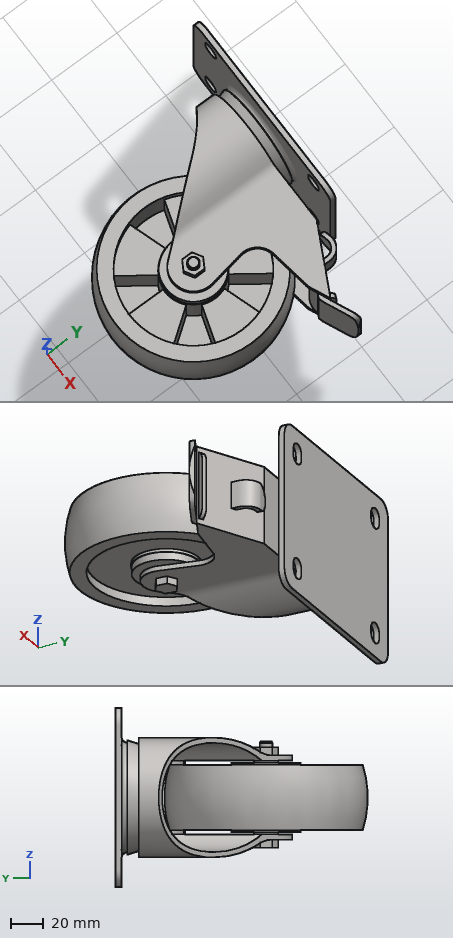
import cadquery as cq
import math


PLATE_LENGTH = 140.0
PLATE_WIDTH = 110.0
PLATE_THICK = 4.0
PLATE_CORNER = 10.0
SLOT_LENGTH = 13.5
SLOT_WIDTH = 11.0
SLOT_PITCH_X = 105.0
SLOT_PITCH_Z = 77.5

BEARING_FLARE_RADIUS = 37.0
BEARING_RADIUS = 35.2
BEARING_END_RADIUS = 33.0
BEARING_FILLET = 3.3

FORK_TOP = -14.2
SHEET = 3.3
RING_RADIUS = 73.5 / 2
CHEEK_OUTER = 26.0
CHEEK_INNER = CHEEK_OUTER - SHEET
CHEEK_BLEND = 10.0
EYE_RADIUS = 16.0
FRONT_EDGE_START = (-RING_RADIUS, -26.5)
FRONT_EDGE_ANGLE = 50.0
FRONT_EDGE_CURVE_END_X = -5.4
REAR_EDGE_ANGLE = 10.0
THROAT_RADIUS = 14.0
SHOULDER_X = 69.6
NOSE_TIP = (115.0, -37.5)
NOSE_KNEE = (100.7, -43.9)
NOSE_EDGE_ANGLE = 8.7

AXLE_X = 48.0
AXLE_Y = -92.5
WHEEL_RADIUS = 62.5
WHEEL_SIDE_RADIUS = 59.3
WHEEL_WIDTH = 40.0
RIM_RADIUS = 98.0 / 2
SPOKE_FACE = 14.0
SPOKE_COUNT = 5
SPOKE_OFFSET = 2.0
WEB_THICK = 4.1
HUB_RADIUS = 43.5 / 2
HUB_CAP_RADIUS = 42.6 / 2
HUB_CAP_HEIGHT = 5.2
HUB_FACE = 21.2

SPACER_RADIUS = 15.0 / 2
BOLT_RADIUS = 8.0 / 2
BOLT_END = 34.5
BOLT_CHAMFER_HEIGHT = 1.2
BOLT_CHAMFER_WIDTH = 0.6
NUT_CORNERS = 15.0
NUT_HEIGHT = 5.0

CURL_CENTER = (81.5, -20.5)
CURL_RADIUS = 10.0
HOOK_WIDTH = 17.7
HOOK_TIP_X = 72.7
HOOK_TIP_DROP = 1.2
HOOK_ROOT_Y = -32.0
CAM_CENTER = (103.2, -28.5)
CAM_RADIUS = 13.4
CAM_LIP_ANGLE = 22.0
OVERALL_LENGTH = 206.0
PEDAL_END_X = OVERALL_LENGTH - PLATE_LENGTH / 2
PEDAL_END_Y = -32.0
PEDAL_ANGLE = 24.0
PEDAL_HEEL = (106.0, -41.0)
PEDAL_BEND = ((110.0, -42.8), (113.0, -42.0))
LEVER_CORNER = 5.8
PEDAL_END_BOW = 2.7


def polar(center, radius, degrees):
    angle = math.radians(degrees)
    return (center[0] + radius * math.cos(angle), center[1] + radius * math.sin(angle))


def slab(outline, half_width):
    """Extrude an XY wire to both sides of the mid plane."""
    return outline.extrude(half_width, both=True)


def across(outline, start_y, depth):
    """Extrude an XZ wire from start_y toward -Y."""
    return outline.extrude(depth).translate((0, start_y, 0))


def mounting_plate():
    plate = across(cq.Workplane("XZ").rect(PLATE_LENGTH, PLATE_WIDTH), 0, PLATE_THICK)
    plate = plate.edges("|Y").fillet(PLATE_CORNER)
    slots = (
        cq.Workplane("XZ")
        .rect(SLOT_PITCH_X, SLOT_PITCH_Z, forConstruction=True)
        .vertices()
        .slot2D(SLOT_LENGTH, SLOT_WIDTH, 90)
    )
    return plate.cut(across(slots, 0, PLATE_THICK))


def bearing():
    """Collar filleted into the plate, with a lip and a taper down to the fork."""
    lip_y = -PLATE_THICK - BEARING_FILLET
    fillet_center = (BEARING_FLARE_RADIUS, lip_y)
    return (
        cq.Workplane("XY")
        .moveTo(0, -PLATE_THICK)
        .lineTo(BEARING_FLARE_RADIUS, -PLATE_THICK)
        .threePointArc(
            polar(fillet_center, BEARING_FILLET, 135), polar(fillet_center, BEARING_FILLET, 180)
        )
        .lineTo(BEARING_RADIUS, lip_y)
        .lineTo(BEARING_END_RADIUS, FORK_TOP)
        .lineTo(0, FORK_TOP)
        .close()
        .revolve(360, (0, 0, 0), (0, 1, 0))
    )


def fork_side_outline():
    """Cheek shape in XY: swept front edge, axle eye, throat and pointed nose."""
    axle = (AXLE_X, AXLE_Y)
    front_tangent = polar(axle, EYE_RADIUS, 180 + 90 - FRONT_EDGE_ANGLE)
    rear_tangent = polar(axle, EYE_RADIUS, REAR_EDGE_ANGLE)
    eye_bottom = polar(axle, EYE_RADIUS, -90)
    front_slope = math.tan(math.radians(FRONT_EDGE_ANGLE))
    curve_end = (
        FRONT_EDGE_CURVE_END_X,
        front_tangent[1] + (front_tangent[0] - FRONT_EDGE_CURVE_END_X) * front_slope,
    )

    lean = math.tan(math.radians(REAR_EDGE_ANGLE))
    nose_slope = math.tan(math.radians(NOSE_EDGE_ANGLE))
    nose_drop = nose_slope * (NOSE_KNEE[0] - rear_tangent[0])
    rise = (NOSE_KNEE[1] - rear_tangent[1] - nose_drop) / (1 + nose_slope * lean)
    throat = (rear_tangent[0] - rise * lean, rear_tangent[1] + rise)

    outline = (
        cq.Workplane("XY")
        .moveTo(*front_tangent)
        .lineTo(*curve_end)
        .tangentArcPoint(FRONT_EDGE_START, relative=False)
        .lineTo(-RING_RADIUS, FORK_TOP)
        .lineTo(SHOULDER_X, FORK_TOP)
        .lineTo(*NOSE_TIP)
        .lineTo(*NOSE_KNEE)
        .lineTo(*throat)
        .lineTo(*rear_tangent)
        .threePointArc(eye_bottom, front_tangent)
        .close()
    )
    side = slab(outline, RING_RADIUS)
    return side.edges(cq.NearestToPointSelector((*throat, 0))).fillet(THROAT_RADIUS)


def fork_section(ring_radius, cheek, start_y):
    """Keyhole section in XZ: swivel ring merged with the parallel cheeks."""
    depth = -AXLE_Y + EYE_RADIUS + start_y
    ring = across(cq.Workplane("XZ").circle(ring_radius), start_y, depth)
    cheeks = across(
        cq.Workplane("XZ").center(NOSE_TIP[0] / 2, 0).rect(NOSE_TIP[0], 2 * cheek), start_y, depth
    )
    return ring.union(cheeks)


def fork():
    """Bent sheet shell, closed by a flat roof under the bearing and by the sloping nose."""
    outer = fork_section(RING_RADIUS, CHEEK_OUTER, FORK_TOP)
    seam_x = math.sqrt(RING_RADIUS**2 - CHEEK_OUTER**2)
    for side in (1, -1):
        seam = cq.NearestToPointSelector((seam_x, AXLE_Y / 2, side * CHEEK_OUTER))
        outer = outer.edges("|Y").edges(seam).fillet(CHEEK_BLEND)
    outer = outer.intersect(fork_side_outline())

    nose_slope = (NOSE_TIP[1] - FORK_TOP) / (NOSE_TIP[0] - SHOULDER_X)
    vertical_sheet = SHEET * math.hypot(1, nose_slope)
    floor_y = AXLE_Y - EYE_RADIUS
    ceiling = FORK_TOP - SHEET
    inner_shoulder_x = SHOULDER_X + (vertical_sheet - SHEET) / nose_slope
    below_roof = slab(
        cq.Workplane("XY").polyline([
            (-RING_RADIUS, ceiling),
            (inner_shoulder_x, ceiling),
            (NOSE_TIP[0], NOSE_TIP[1] - vertical_sheet),
            (NOSE_TIP[0], floor_y),
            (-RING_RADIUS, floor_y),
        ]).close(),
        RING_RADIUS,
    )
    cavity = fork_section(RING_RADIUS - SHEET, CHEEK_INNER, ceiling).intersect(below_roof)
    return outer.cut(cavity)


def wheel_disc(radius, bottom, top):
    """Cylinder on the axle, with the axle at the local origin."""
    return cq.Workplane("XY").workplane(offset=bottom).circle(radius).extrude(top - bottom)


def wheel():
    """Crowned tyre with recessed sides, and deep pockets between the spokes on the +Z side."""
    half = WHEEL_WIDTH / 2
    tyre = (
        cq.Workplane("XZ")
        .moveTo(0, -half)
        .lineTo(WHEEL_SIDE_RADIUS, -half)
        .threePointArc((WHEEL_RADIUS, 0), (WHEEL_SIDE_RADIUS, half))
        .lineTo(0, half)
        .close()
        .revolve(360, (0, 0, 0), (0, 1, 0))
    )

    floor = WEB_THICK - SPOKE_FACE
    half_wedge = math.radians(180 / SPOKE_COUNT / 2)
    apex = SPOKE_OFFSET / math.sin(half_wedge)
    reach = 2 * RIM_RADIUS
    spread = reach * math.tan(half_wedge)
    gap = (
        cq.Workplane("XY")
        .workplane(offset=floor)
        .polyline([(apex, 0), (apex + reach, -spread), (apex + reach, spread)])
        .close()
        .extrude(SPOKE_FACE - floor)
    )
    spokes = wheel_disc(reach, floor, SPOKE_FACE)
    for index in range(SPOKE_COUNT):
        spokes = spokes.cut(gap.rotate((0, 0, 0), (0, 0, 1), 360 / SPOKE_COUNT * (index + 0.5)))

    tyre = tyre.cut(wheel_disc(RIM_RADIUS, floor, half).cut(spokes))
    tyre = tyre.cut(wheel_disc(RIM_RADIUS, -half, -SPOKE_FACE))

    core_half = HUB_FACE - HUB_CAP_HEIGHT
    hub = wheel_disc(HUB_RADIUS, -core_half, core_half)
    hub = hub.union(wheel_disc(HUB_CAP_RADIUS, -HUB_FACE, HUB_FACE))
    return tyre.union(hub)


def axle_hardware():
    """Spacers inside the cheeks, hexagons outside them, and the bolt end on the +Z side."""
    nut_face = CHEEK_OUTER + NUT_HEIGHT
    spacers = wheel_disc(SPACER_RADIUS, -CHEEK_INNER, CHEEK_INNER)
    nuts = slab(cq.Workplane("XY").polygon(6, NUT_CORNERS), nut_face)
    nuts = nuts.rotate((0, 0, 0), (0, 0, 1), 30)
    bolt = wheel_disc(BOLT_RADIUS, 0, BOLT_END)
    bolt = bolt.faces(">Z").chamfer(BOLT_CHAMFER_HEIGHT, BOLT_CHAMFER_WIDTH)
    return spacers.union(nuts).union(bolt)


def brake_hook():
    """Narrow curled strip that rises through the sloping nose and ends in a round tip."""
    inner = CURL_RADIUS - SHEET
    top = CURL_CENTER[1] + CURL_RADIUS
    tip = top - HOOK_TIP_DROP
    strip = slab(
        cq.Workplane("XY")
        .moveTo(HOOK_TIP_X, tip)
        .lineTo(CURL_CENTER[0], top)
        .threePointArc(polar(CURL_CENTER, CURL_RADIUS, 45), polar(CURL_CENTER, CURL_RADIUS, 0))
        .lineTo(CURL_CENTER[0] + CURL_RADIUS, HOOK_ROOT_Y)
        .lineTo(CURL_CENTER[0] + inner, HOOK_ROOT_Y)
        .lineTo(CURL_CENTER[0] + inner, CURL_CENTER[1])
        .threePointArc(polar(CURL_CENTER, inner, 45), polar(CURL_CENTER, inner, 90))
        .lineTo(HOOK_TIP_X, tip - SHEET)
        .close(),
        HOOK_WIDTH / 2,
    )
    plan_length = 2 * (CURL_CENTER[0] + CURL_RADIUS - HOOK_TIP_X)
    plan = across(
        cq.Workplane("XZ").center(HOOK_TIP_X + plan_length / 2, 0).slot2D(plan_length, HOOK_WIDTH),
        0,
        -HOOK_ROOT_Y,
    )
    return strip.intersect(plan)


def brake_cam():
    """Bent strip filling the space between the cheeks, with a lip that turns up at the nose."""
    inner = CAM_RADIUS - SHEET
    middle = (180 + 360 - CAM_LIP_ANGLE) / 2
    cam = slab(
        cq.Workplane("XY")
        .moveTo(*polar(CAM_CENTER, CAM_RADIUS, 180))
        .threePointArc(
            polar(CAM_CENTER, CAM_RADIUS, middle), polar(CAM_CENTER, CAM_RADIUS, -CAM_LIP_ANGLE)
        )
        .lineTo(*polar(CAM_CENTER, inner, -CAM_LIP_ANGLE))
        .threePointArc(polar(CAM_CENTER, inner, middle), polar(CAM_CENTER, inner, 180))
        .close(),
        CHEEK_INNER,
    )
    lip = polar(CAM_CENTER, CAM_RADIUS - SHEET / 2, -CAM_LIP_ANGLE)
    for side in (1, -1):
        corner = cq.NearestToPointSelector((*lip, side * CHEEK_INNER))
        cam = cam.edges(corner).fillet(LEVER_CORNER)
    return cam


def pedal():
    """Flat foot lever with a bent heel joined to the cam and a bowed outer end."""
    end = (PEDAL_END_X, PEDAL_END_Y)
    upper_end = polar(end, SHEET, 90 + PEDAL_ANGLE)
    heel_top_x = PEDAL_BEND[0][0]
    heel_top = (
        heel_top_x,
        upper_end[1] - (upper_end[0] - heel_top_x) * math.tan(math.radians(PEDAL_ANGLE)),
    )
    blade = slab(
        cq.Workplane("XY").polyline([PEDAL_HEEL, *PEDAL_BEND, end, upper_end, heel_top]).close(),
        CHEEK_INNER,
    )
    corner_x = PEDAL_END_X - PEDAL_END_BOW
    plan = across(
        cq.Workplane("XZ")
        .moveTo(0, -CHEEK_INNER)
        .lineTo(corner_x, -CHEEK_INNER)
        .threePointArc((PEDAL_END_X, 0), (corner_x, CHEEK_INNER))
        .lineTo(0, CHEEK_INNER)
        .close(),
        0,
        -AXLE_Y,
    )
    plan = plan.edges("|Y").edges(">X").fillet(LEVER_CORNER)
    return blade.intersect(plan)


rolling_parts = wheel().union(axle_hardware()).translate((AXLE_X, AXLE_Y, 0))
result = mounting_plate().union(bearing()).union(fork())
result = result.union(brake_hook()).union(brake_cam()).union(pedal()).union(rolling_parts)